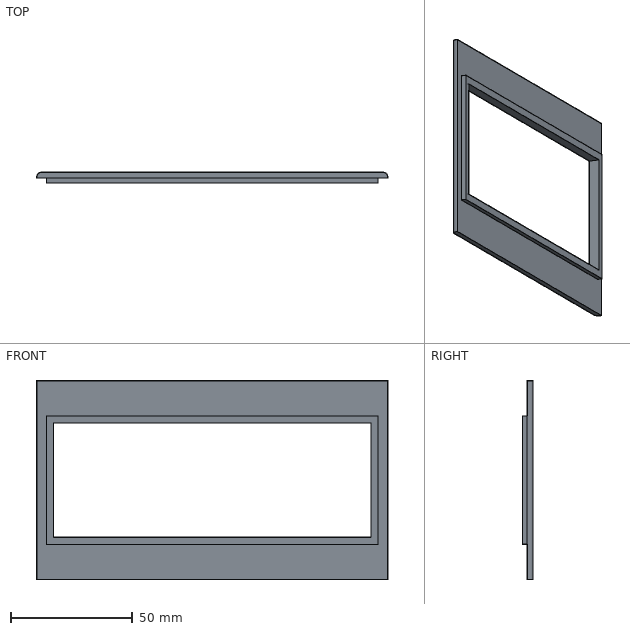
import cadquery as cq

plate_width = 144.6
plate_height = 82.0
plate_thickness = 2.5
end_radius = 2.0

frame_width = 136.6
frame_height = 53.0
frame_depth = 2.0
frame_wall = 3.0

window_width = frame_width - 2 * frame_wall
window_height = frame_height - 2 * frame_wall

total_depth = plate_thickness + frame_depth


def block(width, height, front, back):
    """Block centred in X and Z that spans front to back along Y."""
    return (
        cq.Workplane("XY")
        .box(width, back - front, height)
        .translate((0, (front + back) / 2, 0))
    )


def cover_plate():
    """Plate with its front face at Y = 0 and its vertical back edges rounded."""
    plate = block(plate_width, plate_height, 0, plate_thickness)
    return plate.faces(">Y").edges("|Z").fillet(end_radius)


frame = block(frame_width, frame_height, -frame_depth, 0)
window = block(window_width, window_height, -total_depth, total_depth)

result = cover_plate().union(frame).cut(window)